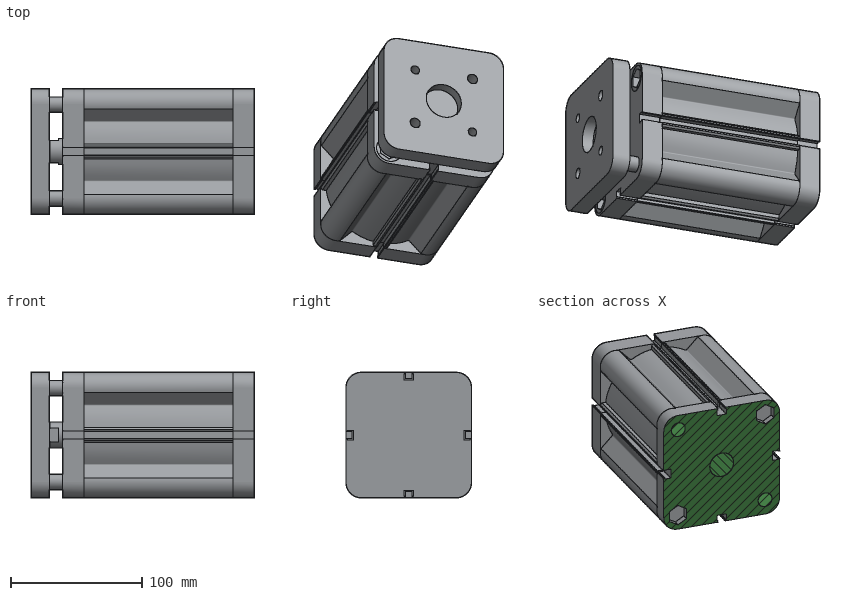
import cadquery as cq
import math


LENGTH = 170.5
WIDTH = 96.0
CORNER_RADIUS = 12.0
HALF_WIDTH = WIDTH / 2
CORNER_CENTER = HALF_WIDTH - CORNER_RADIUS

PLATE_THICKNESS = 14.0
PLATE_GAP = 10.0
CAP_LENGTH = 16.5
BEARING_CAP_X = PLATE_THICKNESS + PLATE_GAP
BARREL_X = BEARING_CAP_X + CAP_LENGTH
END_CAP_X = LENGTH - CAP_LENGTH
BARREL_LENGTH = END_CAP_X - BARREL_X
ROD_LENGTH = BARREL_X - PLATE_THICKNESS

CENTER_RECESS_DIAMETER = 28.1
CENTER_RECESS_DEPTH = 8.9
HOLE_OFFSET = 23.0
TAPPED_HOLE_DIAMETER = 6.8
PIN_HOLE_DIAMETER = 8.0
GUIDE_ROD_DIAMETER = 12.0
GUIDE_ROD_OFFSET = 35.8

PISTON_ROD_DIAMETER = 20.1
WRENCH_FLAT_WIDTH = 17.0
WRENCH_FLAT_LENGTH = 6.8
PISTON_ROD_CHAMFER = 0.5

CAP_SLOT_WIDTH = 6.1
CAP_SLOT_INNER_WIDTH = 7.2
CAP_SLOT_LIP = 1.4
CAP_SLOT_DEPTH = 5.8
SCREW_RECESS_DIAMETER = 20.1
SCREW_RECESS_DEPTH = 0.1
HEX_ACROSS_FLATS = 13.8
HEX_DEPTH = 8.4

TUBE_RADIUS = 44.0
LOBE_EDGE = 32.5
VALLEY_FILLET = 1.0
RAIL_HALF_WIDTH = 5.8
RAIL_TOP_HALF_WIDTH = 4.3
RAIL_CHAMFER_HEIGHT = 1.4
BARREL_SLOT_HALF_WIDTH = 2.5
BARREL_SLOT_DEPTH = 4.8
SLOT_MOUTH_CHAMFER = 0.5

SIDE_ANGLES = (0, 90, 180, 270)
ROD_CORNERS = ((1, 1), (-1, -1))
SCREW_CORNERS = ((-1, 1), (1, -1))


def plane_at(x):
    """Plane facing +X at station x, with local axes along Y and Z."""
    return cq.Workplane("YZ", origin=(x, 0, 0))


def corner_points(corners, offset):
    return [(y * offset, z * offset) for y, z in corners]


def cylinders(x, length, diameter, points):
    return plane_at(x).pushPoints(points).circle(diameter / 2).extrude(length)


def rounded_block(x, length):
    block = plane_at(x).rect(WIDTH, WIDTH).extrude(length)
    return block.edges("|X").fillet(CORNER_RADIUS)


def around_axis(shape, angle):
    return shape.rotate((0, 0, 0), (1, 0, 0), angle)


def side_slot(x, length, width, top, bottom):
    """Cutter along the middle of the +Z side, between two depths below that side."""
    middle = HALF_WIDTH - (top + bottom) / 2
    return plane_at(x).center(0, middle).rect(width, bottom - top).extrude(length)


GUIDE_ROD_POINTS = corner_points(ROD_CORNERS, GUIDE_ROD_OFFSET)
SCREW_POINTS = corner_points(SCREW_CORNERS, CORNER_CENTER)


def make_yoke():
    """Plate with its holes, and the two guide rods that reach through the bearing cap."""
    plate = rounded_block(0, PLATE_THICKNESS)
    plate = plate.cut(cylinders(0, CENTER_RECESS_DEPTH, CENTER_RECESS_DIAMETER, [(0, 0)]))
    tapped_points = corner_points(ROD_CORNERS, HOLE_OFFSET)
    plate = plate.cut(cylinders(0, PLATE_THICKNESS, TAPPED_HOLE_DIAMETER, tapped_points))
    pin_points = corner_points(SCREW_CORNERS, HOLE_OFFSET)
    plate = plate.cut(cylinders(0, PLATE_THICKNESS, PIN_HOLE_DIAMETER, pin_points))
    return plate.union(cylinders(PLATE_THICKNESS, ROD_LENGTH, GUIDE_ROD_DIAMETER, GUIDE_ROD_POINTS))


def make_piston_rod():
    """Rod from the plate through the bearing cap, with two wrench flats next to the plate."""
    rod = cylinders(PLATE_THICKNESS, ROD_LENGTH, PISTON_ROD_DIAMETER, [(0, 0)])
    rod = rod.faces("<X").chamfer(PISTON_ROD_CHAMFER)
    flat_depth = (PISTON_ROD_DIAMETER - WRENCH_FLAT_WIDTH) / 2
    flat_center = (WRENCH_FLAT_WIDTH + flat_depth) / 2
    flat_cutters = (
        plane_at(PLATE_THICKNESS)
        .pushPoints([(-flat_center, 0), (flat_center, 0)])
        .rect(flat_depth, PISTON_ROD_DIAMETER)
        .extrude(WRENCH_FLAT_LENGTH)
    )
    return rod.cut(flat_cutters)


def make_cap(x):
    """Rounded block with an undercut slot along the middle of each side."""
    cap = rounded_block(x, CAP_LENGTH)
    mouth = side_slot(x, CAP_LENGTH, CAP_SLOT_WIDTH, 0, CAP_SLOT_LIP)
    slot = mouth.union(side_slot(x, CAP_LENGTH, CAP_SLOT_INNER_WIDTH, CAP_SLOT_LIP, CAP_SLOT_DEPTH))
    for angle in SIDE_ANGLES:
        cap = cap.cut(around_axis(slot, angle))
    return cap


def make_bearing_cap():
    """Front cap with rod bores and two hexagon sockets in shallow round recesses."""
    cap = make_cap(BEARING_CAP_X)
    cap = cap.cut(cylinders(BEARING_CAP_X, CAP_LENGTH, GUIDE_ROD_DIAMETER, GUIDE_ROD_POINTS))
    cap = cap.cut(cylinders(BEARING_CAP_X, CAP_LENGTH, PISTON_ROD_DIAMETER, [(0, 0)]))
    cap = cap.cut(cylinders(BEARING_CAP_X, SCREW_RECESS_DEPTH, SCREW_RECESS_DIAMETER, SCREW_POINTS))
    hex_diameter = HEX_ACROSS_FLATS / math.cos(math.pi / 6)
    for y, z in SCREW_POINTS:
        socket = plane_at(BEARING_CAP_X).polygon(6, hex_diameter).extrude(HEX_DEPTH)
        cap = cap.cut(around_axis(socket, 90).translate((0, y, z)))
    return cap


def make_side_valley():
    """Cutter for one side: the space between two corner lobes, outside the tube wall."""
    arc_drop = CORNER_CENTER - LOBE_EDGE
    lobe_height = CORNER_CENTER + math.sqrt(CORNER_RADIUS**2 - arc_drop**2)
    mid_angle = math.asin(arc_drop / CORNER_RADIUS) / 2
    mid_y = CORNER_CENTER - CORNER_RADIUS * math.sin(mid_angle)
    mid_z = CORNER_CENTER + CORNER_RADIUS * math.cos(mid_angle)
    wedge = (
        plane_at(BARREL_X)
        .moveTo(0, lobe_height - LOBE_EDGE)
        .lineTo(LOBE_EDGE, lobe_height)
        .threePointArc((mid_y, mid_z), (CORNER_CENTER, HALF_WIDTH))
        .lineTo(-CORNER_CENTER, HALF_WIDTH)
        .threePointArc((-mid_y, mid_z), (-LOBE_EDGE, lobe_height))
        .close()
        .extrude(BARREL_LENGTH)
    )
    valley = wedge.cut(cylinders(BARREL_X, BARREL_LENGTH, 2 * TUBE_RADIUS, [(0, 0)]))
    return valley.edges("|X").edges("<Z").fillet(VALLEY_FILLET)


def make_rail():
    """Slotted rail along the middle of one side, seated in the tube wall."""
    foot = HALF_WIDTH - 2 * BARREL_SLOT_DEPTH
    mouth = BARREL_SLOT_HALF_WIDTH + SLOT_MOUTH_CHAMFER
    slot_floor = HALF_WIDTH - BARREL_SLOT_DEPTH
    right_half = [
        (BARREL_SLOT_HALF_WIDTH, slot_floor),
        (BARREL_SLOT_HALF_WIDTH, HALF_WIDTH - SLOT_MOUTH_CHAMFER),
        (mouth, HALF_WIDTH),
        (RAIL_TOP_HALF_WIDTH, HALF_WIDTH),
        (RAIL_HALF_WIDTH, HALF_WIDTH - RAIL_CHAMFER_HEIGHT),
        (RAIL_HALF_WIDTH, foot),
    ]
    left_half = [(-y, z) for y, z in reversed(right_half)]
    return plane_at(BARREL_X).polyline(right_half + left_half).close().extrude(BARREL_LENGTH)


def make_barrel():
    """Tube with four corner lobes, and a slotted rail on each side."""
    barrel = rounded_block(BARREL_X, BARREL_LENGTH)
    valley = make_side_valley()
    rail = make_rail()
    slot = side_slot(BARREL_X, BARREL_LENGTH, 2 * BARREL_SLOT_HALF_WIDTH, 0, BARREL_SLOT_DEPTH)
    for angle in SIDE_ANGLES:
        barrel = barrel.cut(around_axis(valley, angle))
        barrel = barrel.union(around_axis(rail, angle))
        barrel = barrel.cut(around_axis(slot, angle))
    return barrel


yoke = make_yoke()
piston_rod = make_piston_rod()
bearing_cap = make_bearing_cap()
barrel = make_barrel()
end_cap = make_cap(END_CAP_X)

result = cq.Compound.makeCompound(
    [yoke.val(), piston_rod.val(), bearing_cap.val(), barrel.val(), end_cap.val()]
)